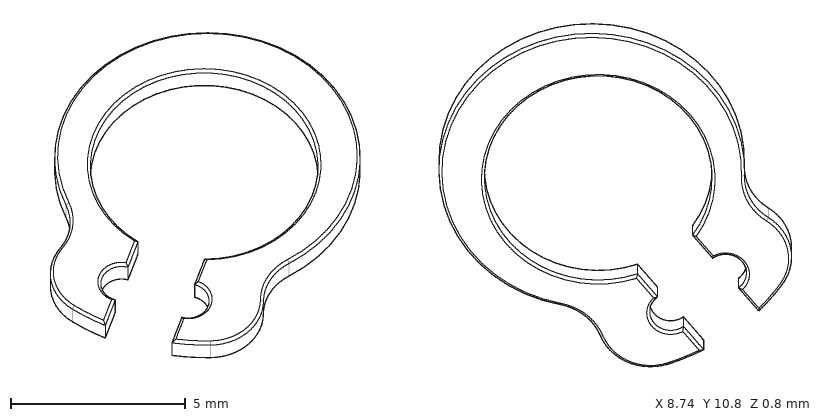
import cadquery as cq
import math

outer_radius = 4.37
total_length = 10.84
thickness = 0.8
edge_chamfer = 0.09

bore_radius = 3.25
bore_drop = 0.3

gap_width = 1.99
notch_radius = 0.6
notch_drop = 4.93

neck_radius = 1.57
lobe_half_width = 3.12
lobe_radius = 1.54

half_gap = gap_width / 2
ear_tip = (half_gap, outer_radius - total_length)


def point_between(start, end, distance):
    """Point at the given distance from start on the way to end."""
    fraction = distance / math.dist(start, end)
    return (start[0] + fraction * (end[0] - start[0]), start[1] + fraction * (end[1] - start[1]))


def point_on_circle(center, radius, angle):
    return (center[0] + radius * math.cos(angle), center[1] + radius * math.sin(angle))


def mirrored(point):
    return (-point[0], point[1])


ring_center = (0, 0)
underside_radius = math.dist(ring_center, ear_tip)
lobe_x = lobe_half_width - lobe_radius
lobe_distance = underside_radius - lobe_radius
lobe_center = (lobe_x, -math.sqrt(lobe_distance**2 - lobe_x**2))

neck_distance = outer_radius + neck_radius
neck_to_lobe = neck_radius + lobe_radius
angle_to_neck = math.acos(
    (neck_distance**2 + lobe_distance**2 - neck_to_lobe**2) / (2 * neck_distance * lobe_distance)
)
lobe_angle = math.atan2(lobe_center[1], lobe_center[0])
neck_center = point_on_circle(ring_center, neck_distance, lobe_angle + angle_to_neck)

neck_start = point_between(ring_center, neck_center, outer_radius)
neck_middle = (neck_center[0] - neck_radius, neck_center[1])
lobe_start = point_between(neck_center, lobe_center, neck_radius)
lobe_middle = (lobe_half_width, lobe_center[1])
lobe_end = point_between(ring_center, lobe_center, underside_radius)
tip_angle = math.atan2(ear_tip[1], ear_tip[0])
underside_middle = point_on_circle(ring_center, underside_radius, (tip_angle + lobe_angle) / 2)


def ring_blank():
    """Plate bounded by the outer contour, with the gap still closed."""
    return (
        cq.Workplane("XY")
        .moveTo(*ear_tip)
        .threePointArc(underside_middle, lobe_end)
        .threePointArc(lobe_middle, lobe_start)
        .threePointArc(neck_middle, neck_start)
        .threePointArc((0, outer_radius), mirrored(neck_start))
        .threePointArc(mirrored(neck_middle), mirrored(lobe_start))
        .threePointArc(mirrored(lobe_middle), mirrored(lobe_end))
        .threePointArc(mirrored(underside_middle), mirrored(ear_tip))
        .close()
        .extrude(thickness)
    )


def bore():
    return cq.Workplane("XY").center(0, -bore_drop).circle(bore_radius).extrude(thickness)


def gap():
    """Slot from the bore centre down past the ear tips."""
    return (
        cq.Workplane("XY")
        .center(0, -bore_drop - total_length / 2)
        .rect(gap_width, total_length)
        .extrude(thickness)
    )


def plier_notches():
    centers = [(-half_gap, -notch_drop), (half_gap, -notch_drop)]
    return cq.Workplane("XY").pushPoints(centers).circle(notch_radius).extrude(thickness)


ring = ring_blank().cut(bore()).cut(gap()).cut(plier_notches())
result = ring.faces("<Z or >Z").edges().chamfer(edge_chamfer)